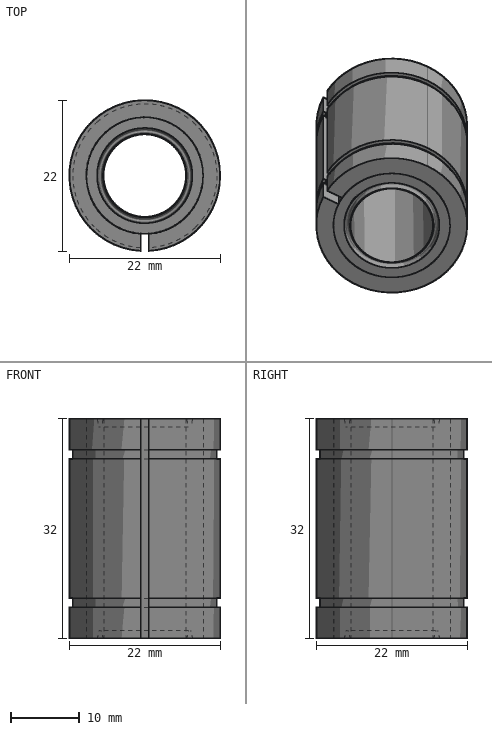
import cadquery as cq
import math

length = 32.0
shell_radius = 11.0
sleeve_radius = 8.5
bore_radius = 6.0

ring_groove_width = 1.3
ring_groove_depth = 0.5
ring_groove_inset = 4.55

slot_width = 1.15

lip_thickness = 0.1
end_groove_outer_radius = 6.95
end_groove_depth = 1.2
end_groove_taper = 12.0


def tube(outer_radius, inner_radius, height):
    """Plain tube standing on the XY plane, centred on the Z axis."""
    return cq.Workplane("XY").circle(outer_radius).circle(inner_radius).extrude(height)


def make_shell():
    """Split outer shell with two retaining ring grooves."""
    shell = tube(shell_radius, sleeve_radius, length)
    ring = tube(shell_radius, shell_radius - ring_groove_depth, ring_groove_width)
    for bottom in (ring_groove_inset, length - ring_groove_inset - ring_groove_width):
        shell = shell.cut(ring.translate((0, 0, bottom)))
    slot = cq.Workplane("XY").box(slot_width, shell_radius, length, centered=(True, False, False))
    return shell.cut(slot.translate((0, -shell_radius, 0)))


def end_groove_cutter():
    """Ring that cuts the top end groove: two leaning walls joined by a tangent round bottom."""
    inner_radius = bore_radius + lip_thickness
    middle_radius = (inner_radius + end_groove_outer_radius) / 2
    half_width = (end_groove_outer_radius - inner_radius) / 2
    taper = math.radians(end_groove_taper)
    arc_radius = (half_width * math.cos(taper) - end_groove_depth * math.sin(taper)) / (1 - math.sin(taper))
    arc_height = length - end_groove_depth + arc_radius
    tangent_offset = arc_radius * math.cos(taper)
    tangent_height = arc_height - arc_radius * math.sin(taper)
    return (
        cq.Workplane("XZ")
        .moveTo(-end_groove_outer_radius, length)
        .lineTo(-middle_radius - tangent_offset, tangent_height)
        .threePointArc(
            (-middle_radius, length - end_groove_depth),
            (-middle_radius + tangent_offset, tangent_height),
        )
        .lineTo(-inner_radius, length)
        .close()
        .revolve(360, (0, 0, 0), (0, 1, 0))
    )


def make_sleeve():
    """Inner bearing sleeve with the same groove in both end faces."""
    sleeve = tube(sleeve_radius, bore_radius, length)
    top_groove = end_groove_cutter()
    bottom_groove = top_groove.mirror("XY", (0, 0, length / 2))
    return sleeve.cut(top_groove).cut(bottom_groove)


shell = make_shell()
sleeve = make_sleeve()
result = cq.Compound.makeCompound([shell.val(), sleeve.val()])